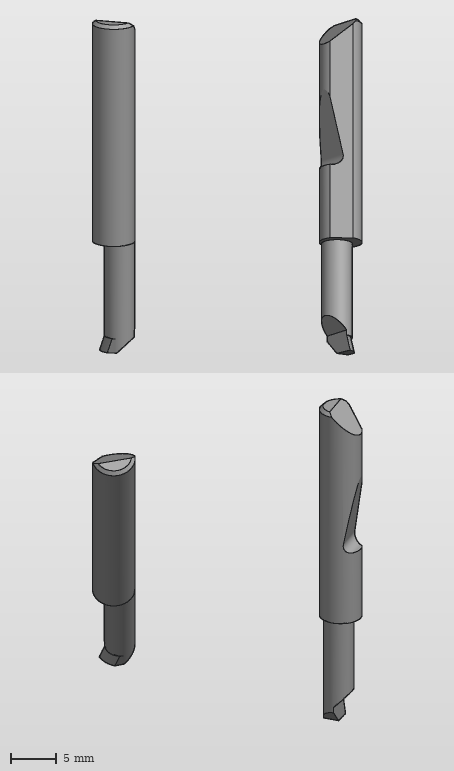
import cadquery as cq
import math

SHANK_RADIUS = 2.38
SHANK_LENGTH = 25.4
TOP_CHAMFER = 0.4

TOP_SLOPE_END_Y = -0.63

FLAT_DISTANCE = 2.0
FLAT_NORMAL_ANGLE = 143.0

NOTCH_BOTTOM_Z = 8.42
NOTCH_TOP_Z = 17.1
NOTCH_SLOPE_ANGLE = 10.0
NOTCH_FLOOR_RADIUS = 1.0

NECK_RADIUS = 1.71
NECK_CENTER_X = SHANK_RADIUS - NECK_RADIUS
TOOL_LENGTH = 12.69
RAKE_FACE_Y = 0.0
RAKE_SLOPE_END_Z = -10.25
END_CHAMFER_TOP_Z = -10.9

HEAD_TOP_Z = -10.8
TIP_X = -1.65
TIP_LEAN = 0.62
HEEL_OFFSET_X = 1.35
FLANK_BULGE = 0.2
END_RELIEF_ANGLE = 5.0
END_TILT_ANGLE = 2.5

MARGIN = 1.0


def extrude_along_x(points):
    """Prism across the part from a closed outline of (Y, Z) points."""
    reach = SHANK_RADIUS + MARGIN
    return cq.Workplane("YZ").polyline(points).close().extrude(reach, both=True)


def make_shank():
    bar = cq.Workplane("XY").circle(SHANK_RADIUS).extrude(SHANK_LENGTH)
    return bar.faces(">Z").chamfer(TOP_CHAMFER)


def flat_cutter():
    """Block whose inner face is the locating flat."""
    size = 2 * SHANK_RADIUS
    block = cq.Workplane("XY").box(size, 2 * size, SHANK_LENGTH, centered=(False, True, False))
    placed = block.translate((FLAT_DISTANCE, 0, 0))
    return placed.rotate((0, 0, 0), (0, 0, 1), FLAT_NORMAL_ANGLE)


def top_slope_cutter():
    outer_y = SHANK_RADIUS + MARGIN
    run = outer_y - TOP_SLOPE_END_Y
    return extrude_along_x([
        (TOP_SLOPE_END_Y, SHANK_LENGTH),
        (outer_y, SHANK_LENGTH),
        (outer_y, SHANK_LENGTH - run),
    ])


def notch_cutter():
    """Wedge with a gentle upper slope and a rounded inner corner."""
    slope = math.tan(math.radians(NOTCH_SLOPE_ANGLE))
    outer_y = SHANK_RADIUS + MARGIN
    corner_y = SHANK_RADIUS - (NOTCH_TOP_Z - NOTCH_BOTTOM_Z) * slope
    wedge = extrude_along_x([
        (corner_y, NOTCH_BOTTOM_Z),
        (outer_y, NOTCH_BOTTOM_Z),
        (outer_y, NOTCH_TOP_Z + MARGIN / slope),
    ])
    return wedge.edges("|X and <Y").fillet(NOTCH_FLOOR_RADIUS)


def rake_cutter():
    """Clears the +Y half of the tool end, leaving a 45 degree run-out into the neck."""
    outer_y = NECK_RADIUS + MARGIN
    bottom_z = -TOOL_LENGTH - MARGIN
    return extrude_along_x([
        (RAKE_FACE_Y, bottom_z),
        (RAKE_FACE_Y, RAKE_SLOPE_END_Z),
        (outer_y, RAKE_SLOPE_END_Z + outer_y - RAKE_FACE_Y),
        (outer_y, bottom_z),
    ])


def end_relief_cutter():
    """Block whose top is the end face, rising away from the tip toward +X and toward -Y."""
    size = 4 * SHANK_RADIUS
    block = cq.Workplane("XY").box(size, size, size).translate((0, 0, -size / 2))
    relieved = block.rotate((0, 0, 0), (1, 0, 0), -END_RELIEF_ANGLE)
    tilted = relieved.rotate((0, 0, 0), (0, 1, 0), -END_TILT_ANGLE)
    return tilted.translate((TIP_X, RAKE_FACE_Y, -TOOL_LENGTH))


def end_chamfer_cutter():
    """Takes the +X corner off the tool end at 45 degrees."""
    outer_x = SHANK_RADIUS + MARGIN
    drop = TOOL_LENGTH + END_CHAMFER_TOP_Z + MARGIN
    return (
        cq.Workplane("XZ")
        .moveTo(outer_x, END_CHAMFER_TOP_Z + MARGIN)
        .lineTo(SHANK_RADIUS - drop, END_CHAMFER_TOP_Z - drop)
        .lineTo(outer_x, END_CHAMFER_TOP_Z - drop)
        .close()
        .extrude(SHANK_RADIUS + MARGIN, both=True)
    )


def make_head():
    """Tooth with a rounded flank, extruded along the lean of its side edge and trimmed to the neck."""
    heel_depth = RAKE_FACE_Y + NECK_RADIUS
    chord = math.hypot(HEEL_OFFSET_X, heel_depth)
    heel_x = TIP_X + HEEL_OFFSET_X
    flank_middle = (
        TIP_X + HEEL_OFFSET_X / 2 - FLANK_BULGE * heel_depth / chord,
        RAKE_FACE_Y - heel_depth / 2 - FLANK_BULGE * HEEL_OFFSET_X / chord,
    )
    back_x = NECK_CENTER_X + MARGIN
    section = (
        cq.Workplane("XY", origin=(0, 0, -TOOL_LENGTH))
        .moveTo(TIP_X, RAKE_FACE_Y)
        .threePointArc(flank_middle, (heel_x, -NECK_RADIUS))
        .lineTo(back_x, -NECK_RADIUS)
        .lineTo(back_x, RAKE_FACE_Y)
        .close()
    )
    lean_path = (
        cq.Workplane("XZ")
        .moveTo(TIP_X, -TOOL_LENGTH)
        .lineTo(TIP_X + TIP_LEAN, HEAD_TOP_Z)
    )
    return section.sweep(lean_path).intersect(left_of_neck_center())


def left_of_neck_center():
    """Block from the neck centre line toward -X, spanning the height of the head."""
    height = TOOL_LENGTH + HEAD_TOP_Z
    size = 2 * SHANK_RADIUS
    block = cq.Workplane("XY").box(size, size, height, centered=(False, True, False))
    return block.translate((NECK_CENTER_X - size, 0, -TOOL_LENGTH))


def make_tool_end():
    neck = cq.Workplane("XY").center(NECK_CENTER_X, 0).circle(NECK_RADIUS).extrude(-TOOL_LENGTH)
    tool_end = neck.cut(left_of_neck_center()).union(make_head())
    for cutter in (rake_cutter(), end_relief_cutter(), end_chamfer_cutter()):
        tool_end = tool_end.cut(cutter)
    return tool_end


shank = make_shank().cut(flat_cutter()).cut(top_slope_cutter()).cut(notch_cutter())
result = shank.union(make_tool_end())